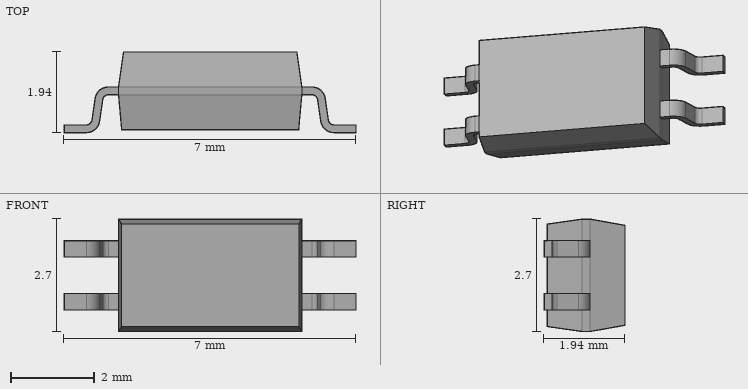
import cadquery as cq
import math

overall_length = 7.0
overall_depth = 1.94

body_length = 4.4
body_height = 2.7
half_depth = 0.84
back_inset_x = 0.12
back_inset_z = 0.15
front_inset_x = 0.075
front_inset_z = 0.12

lead_thickness = 0.19
lead_width = 0.4
lead_pitch = 1.27
foot_length = 0.53
shoulder_length = 0.24
bend_inner_radius = 0.135

band_back_y = overall_depth - half_depth
band_front_y = band_back_y - lead_thickness
bend_outer_radius = bend_inner_radius + lead_thickness
bend_mid_radius = (bend_inner_radius + bend_outer_radius) / 2
lead_tip_x = -overall_length / 2
body_end_x = -body_length / 2
foot_bend_center = (lead_tip_x + foot_length, bend_outer_radius)
shoulder_bend_center = (body_end_x - shoulder_length, band_back_y - bend_outer_radius)


def tapered_half(start_y, direction, inset_x, inset_z):
    """Body half growing from the band at start_y along +Y or -Y to a smaller end face."""
    base = cq.Plane(origin=(0, start_y, 0), xDir=(1, 0, 0), normal=(0, direction, 0))
    return (
        cq.Workplane(base)
        .rect(body_length, body_height)
        .workplane(offset=half_depth)
        .rect(body_length - 2 * inset_x, body_height - 2 * inset_z)
        .loft(ruled=True)
    )


def make_body():
    band_center = (0, (band_back_y + band_front_y) / 2, 0)
    band = cq.Workplane("XY", origin=band_center).box(body_length, lead_thickness, body_height)
    back = tapered_half(band_back_y, 1, back_inset_x, back_inset_z)
    front = tapered_half(band_front_y, -1, front_inset_x, front_inset_z)
    return band.union(back).union(front)


def bend_turn_angle():
    """Angle each bend turns so that the straight leg is tangent to both bends."""
    dx = shoulder_bend_center[0] - foot_bend_center[0]
    dy = shoulder_bend_center[1] - foot_bend_center[1]
    center_distance = math.hypot(dx, dy)
    return math.atan2(dy, dx) + math.asin(2 * bend_mid_radius / center_distance)


def on_circle(center, radius, angle):
    return (center[0] + radius * math.cos(angle), center[1] + radius * math.sin(angle))


def make_lead(center_z):
    """Left-hand lead, from its foot tip to the end face of the body."""
    turn = bend_turn_angle()
    foot_start = -math.pi / 2
    shoulder_start = math.pi / 2

    def foot_arc(radius, fraction):
        return on_circle(foot_bend_center, radius, foot_start + fraction * turn)

    def shoulder_arc(radius, fraction):
        return on_circle(shoulder_bend_center, radius, shoulder_start + fraction * turn)

    outline = (
        cq.Workplane("XY", origin=(0, 0, center_z - lead_width / 2))
        .moveTo(lead_tip_x, 0)
        .lineTo(*foot_arc(bend_outer_radius, 0))
        .threePointArc(foot_arc(bend_outer_radius, 0.5), foot_arc(bend_outer_radius, 1))
        .lineTo(*shoulder_arc(bend_inner_radius, 1))
        .threePointArc(shoulder_arc(bend_inner_radius, 0.5), shoulder_arc(bend_inner_radius, 0))
        .lineTo(body_end_x, band_front_y)
        .lineTo(body_end_x, band_back_y)
        .lineTo(*shoulder_arc(bend_outer_radius, 0))
        .threePointArc(shoulder_arc(bend_outer_radius, 0.5), shoulder_arc(bend_outer_radius, 1))
        .lineTo(*foot_arc(bend_inner_radius, 1))
        .threePointArc(foot_arc(bend_inner_radius, 0.5), foot_arc(bend_inner_radius, 0))
        .lineTo(lead_tip_x, lead_thickness)
        .close()
    )
    return outline.extrude(lead_width)


result = make_body()
for side in (-1, 1):
    left_lead = make_lead(side * lead_pitch / 2)
    result = result.union(left_lead).union(left_lead.mirror("YZ"))